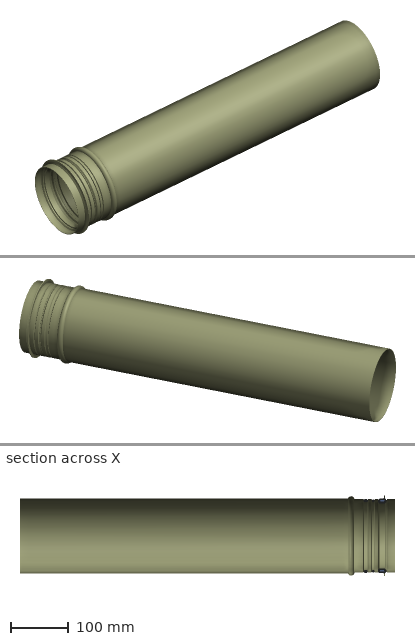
import cadquery as cq
import math

LENGTH = 650.0
RIM_Y = -LENGTH / 2
WALL = 1.0
PIPE_RADIUS = 130.0 / 2
SPIGOT_RADIUS = 127.5 / 2

BEAD_DEPTH = 76.0
BEAD_RADIUS = 6.0
BEAD_CENTRE_RADIUS = 63.0

SHELF_RADIUS = 122.0 / 2
SEAL_GROOVE_RADIUS = 117.0 / 2
SEAL_GROOVE_START = 13.5
SEAL_SHELF_START = 15.5
SEAL_SHELF_END = 17.5
SEAL_BOTTOM_START = 18.0
SEAL_BOTTOM_END = 26.5
SEAL_GROOVE_END = 29.0

SEAL_RADIUS = SPIGOT_RADIUS
FIN_RADIUS = 140.0 / 2
FIN_THICKNESS = 1.0

RING_GROOVE_RADIUS = 122.0 / 2
LOW_RING_GROOVE = {"start": 35.0, "end": 41.0, "flank": 2.0}
FLUSH_RING_GROOVE = {"start": 47.0, "end": 54.5, "flank": 1.0}
LOW_RING_RADIUS = 125.0 / 2
FLUSH_RING_RADIUS = 127.0 / 2
RING_TAPER = 0.5


def revolve_about_axis(profile):
    """Revolve a closed (radius, depth) profile about the pipe axis, with the rim at the -Y end."""
    return profile.close().revolve(360, (0, 0, 0), (0, 1, 0)).translate((0, RIM_Y, 0))


def groove_bottom(groove):
    """Depths at which the flat bottom of a shallow groove starts and ends."""
    return groove["start"] + groove["flank"], groove["end"] - groove["flank"]


def ring_groove_flanks(groove):
    """The falling and the rising flank of a shallow groove, each as two (radius, depth) points."""
    bottom_start, bottom_end = groove_bottom(groove)
    falling = ((SPIGOT_RADIUS, groove["start"]), (RING_GROOVE_RADIUS, bottom_start))
    rising = ((RING_GROOVE_RADIUS, bottom_end), (SPIGOT_RADIUS, groove["end"]))
    return [falling, rising]


def spigot_flanks():
    """Every sloped stretch of the spigot's outer surface, from the rim inward."""
    seal_flanks = [
        ((SPIGOT_RADIUS, SEAL_GROOVE_START), (SHELF_RADIUS, SEAL_SHELF_START)),
        ((SHELF_RADIUS, SEAL_SHELF_END), (SEAL_GROOVE_RADIUS, SEAL_BOTTOM_START)),
        ((SEAL_GROOVE_RADIUS, SEAL_BOTTOM_END), (SPIGOT_RADIUS, SEAL_GROOVE_END)),
    ]
    return seal_flanks + ring_groove_flanks(LOW_RING_GROOVE) + ring_groove_flanks(FLUSH_RING_GROOVE)


def bead_half_width(radius, bead_radius):
    """Half the bead's width along the axis, where it meets a cylinder of the given radius."""
    return math.sqrt(bead_radius**2 - (radius - BEAD_CENTRE_RADIUS) ** 2)


def filled_pipe(inset):
    """Solid bounded by the pipe's outer surface, moved inward by inset."""
    pipe_radius = PIPE_RADIUS - inset
    spigot_radius = SPIGOT_RADIUS - inset
    bead_radius = BEAD_RADIUS - inset

    profile = cq.Workplane("XY").lineTo(spigot_radius, 0)
    for (start_radius, start), (end_radius, end) in spigot_flanks():
        slope = math.atan2(end_radius - start_radius, end - start)
        shift = inset * math.tan(slope / 2)
        profile = profile.lineTo(start_radius - inset, start + shift)
        profile = profile.lineTo(end_radius - inset, end + shift)

    bead_start = BEAD_DEPTH - bead_half_width(spigot_radius, bead_radius)
    bead_end = BEAD_DEPTH + bead_half_width(pipe_radius, bead_radius)
    profile = profile.lineTo(spigot_radius, bead_start)
    profile = profile.threePointArc((BEAD_CENTRE_RADIUS + bead_radius, BEAD_DEPTH), (pipe_radius, bead_end))
    profile = profile.lineTo(pipe_radius, LENGTH).lineTo(0, LENGTH)
    return revolve_about_axis(profile)


def make_pipe():
    """Thin sheet pipe, open at both ends, with its bead and grooves pressed into the wall."""
    return filled_pipe(0).cut(filled_pipe(WALL))


def make_lip_seal():
    """Seal bedded in the stepped groove, sloping up from the shelf to a fin proud of the spigot."""
    fin_end = SEAL_SHELF_END + FIN_THICKNESS
    flank_middle = (SEAL_BOTTOM_END + SEAL_GROOVE_END) / 2
    outline = [
        (SEAL_GROOVE_RADIUS, SEAL_BOTTOM_START),
        (SHELF_RADIUS, SEAL_SHELF_END),
        (SHELF_RADIUS, SEAL_SHELF_START),
        (SEAL_RADIUS, SEAL_SHELF_END),
        (FIN_RADIUS, SEAL_SHELF_END),
        (FIN_RADIUS, fin_end),
        (SEAL_RADIUS, fin_end),
        (SEAL_RADIUS, SEAL_BOTTOM_END),
        ((SEAL_GROOVE_RADIUS + SPIGOT_RADIUS) / 2, flank_middle),
        (SEAL_GROOVE_RADIUS, SEAL_BOTTOM_END),
    ]
    return revolve_about_axis(cq.Workplane("XY").polyline(outline))


def make_retaining_ring(groove, outer_radius):
    """Tapered ring covering the flat bottom of a shallow groove."""
    start, end = groove_bottom(groove)
    outline = [
        (RING_GROOVE_RADIUS, start),
        (outer_radius, start + RING_TAPER),
        (outer_radius, end - RING_TAPER),
        (RING_GROOVE_RADIUS, end),
    ]
    return revolve_about_axis(cq.Workplane("XY").polyline(outline))


pipe = make_pipe()
lip_seal = make_lip_seal()
retaining_rings = [
    make_retaining_ring(groove, radius)
    for groove, radius in ((LOW_RING_GROOVE, LOW_RING_RADIUS), (FLUSH_RING_GROOVE, FLUSH_RING_RADIUS))
]

result = cq.Compound.makeCompound([pipe.val(), lip_seal.val(), *[ring.val() for ring in retaining_rings]])